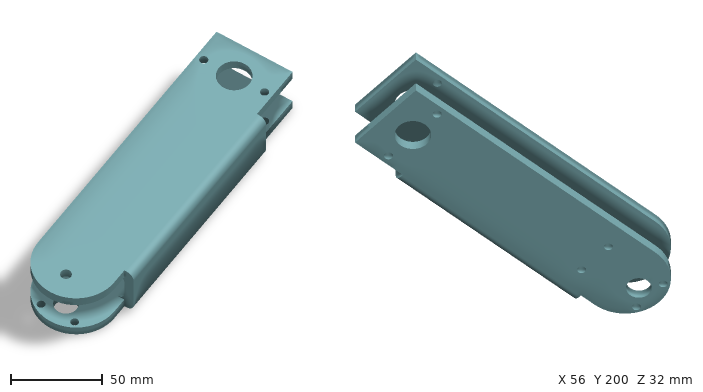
import cadquery as cq

length = 200.0
arm_width = 50.0
height = 32.0
thickness = 6.0
web_length = 130.0
fillet_radius = 5.0

square_end_inset = 20.0
large_bore_diameter = 20.0
side_hole_diameter = 5.0
side_hole_spacing = 40.0

pivot_inset = 15.0
pivot_diameter = 6.5
shaft_bore_diameter = 14.0
mount_hole_diameter = 4.8
mount_spacing_x = 22.0
mount_spacing_y = 40.0
mount_center_offset = 12.0

end_radius = arm_width / 2
square_end_y = length / 2
arc_center_y = -length / 2 + end_radius
square_holes_y = square_end_y - square_end_inset
pivot_y = -length / 2 + pivot_inset
inner_height = height - 2 * thickness
web_outer_x = arm_width / 2 + thickness


def make_arm(bottom_z):
    """Flat arm with a full-round end at -Y and a square end at +Y."""
    return (
        cq.Workplane("XY", origin=(0, 0, bottom_z))
        .moveTo(-end_radius, square_end_y)
        .lineTo(-end_radius, arc_center_y)
        .threePointArc((0, -length / 2), (end_radius, arc_center_y))
        .lineTo(end_radius, square_end_y)
        .close()
        .extrude(thickness)
    )


def make_channel():
    """Web with rounded outer corners and filleted inner corners."""
    flange_length = thickness + fillet_radius
    outer = (
        cq.Workplane("XY")
        .box(flange_length, web_length, height)
        .translate((web_outer_x - flange_length / 2, 0, 0))
        .edges("|Y and >X")
        .fillet(fillet_radius)
    )
    cavity = (
        cq.Workplane("XY")
        .box(arm_width, web_length, inner_height)
        .edges("|Y and >X")
        .fillet(fillet_radius)
    )
    return outer.cut(cavity)


def hole_tool(points, diameter, bottom_z, depth):
    """Vertical cylinders at the given XY points."""
    return (
        cq.Workplane("XY", origin=(0, 0, bottom_z))
        .pushPoints(points)
        .circle(diameter / 2)
        .extrude(depth)
    )


lower_z = -height / 2
upper_z = height / 2 - thickness
result = make_arm(lower_z).union(make_arm(upper_z)).union(make_channel())

side_points = [(side * side_hole_spacing / 2, square_holes_y) for side in (-1, 1)]
result = result.cut(hole_tool([(0, square_holes_y)], large_bore_diameter, lower_z, height))
result = result.cut(hole_tool(side_points, side_hole_diameter, lower_z, height))

mount_center_y = pivot_y + mount_center_offset
mount_points = [
    (side_x * mount_spacing_x / 2, mount_center_y + side_y * mount_spacing_y / 2)
    for side_x in (-1, 1)
    for side_y in (-1, 1)
]
result = result.cut(hole_tool([(0, pivot_y)], pivot_diameter, upper_z, thickness))
result = result.cut(hole_tool([(0, pivot_y)], shaft_bore_diameter, lower_z, thickness))
result = result.cut(hole_tool(mount_points, mount_hole_diameter, lower_z, thickness))